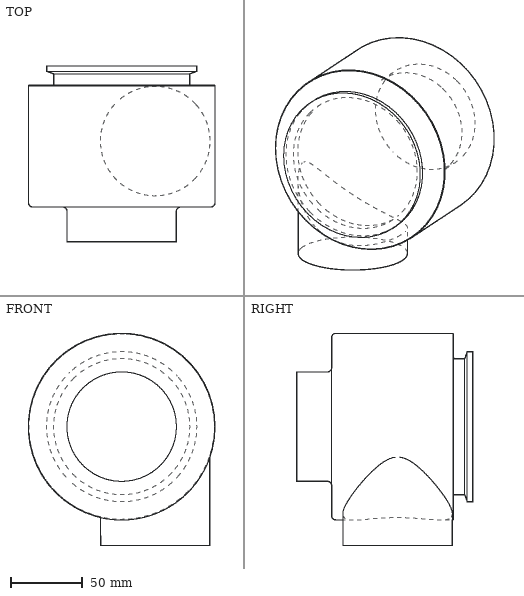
import cadquery as cq

body_radius = 65.1
body_length = 85.0
front_edge_fillet = 3.0
rear_edge_chamfer = 0.5

pipe_radius = 38.2
front_pipe_length = 24.3
root_fillet = 3.0
lower_pipe_offset_x = 23.4
lower_pipe_rear_gap = 0.7
lower_pipe_projection = 17.8

neck_radius = 47.5
neck_root_fillet = 0.7
rear_length = 13.5
flange_radius = 52.4
flange_rim_width = 3.8
flange_bevel_width = 1.8

rear_end_y = body_length + rear_length
rim_start_y = rear_end_y - flange_rim_width
bevel_start_y = rim_start_y - flange_bevel_width
lower_pipe_y = body_length - lower_pipe_rear_gap - pipe_radius


def concave_fillet_mid(corner_radius, corner_y, size, direction):
    """Midpoint of a fillet arc in an inside corner between a cylinder and a face."""
    inset = size * (1 - 0.5**0.5)
    return (corner_radius + inset, corner_y + direction * inset)


def make_turned_body():
    """Front pipe, drum, neck and flange as one profile turned about Y."""
    edge_inset = front_edge_fillet * (1 - 0.5**0.5)
    profile = (
        cq.Workplane("XY")
        .moveTo(0, -front_pipe_length)
        .lineTo(pipe_radius, -front_pipe_length)
        .lineTo(pipe_radius, -root_fillet)
        .threePointArc(
            concave_fillet_mid(pipe_radius, 0, root_fillet, -1),
            (pipe_radius + root_fillet, 0),
        )
        .lineTo(body_radius - front_edge_fillet, 0)
        .threePointArc(
            (body_radius - edge_inset, edge_inset),
            (body_radius, front_edge_fillet),
        )
        .lineTo(body_radius, body_length - rear_edge_chamfer)
        .lineTo(body_radius - rear_edge_chamfer, body_length)
        .lineTo(neck_radius + neck_root_fillet, body_length)
        .threePointArc(
            concave_fillet_mid(neck_radius, body_length, neck_root_fillet, 1),
            (neck_radius, body_length + neck_root_fillet),
        )
        .lineTo(neck_radius, bevel_start_y)
        .lineTo(flange_radius, rim_start_y)
        .lineTo(flange_radius, rear_end_y)
        .lineTo(0, rear_end_y)
        .close()
    )
    return profile.revolve(360, (0, 0, 0), (0, 1, 0))


def make_lower_pipe():
    """Pipe running down from the level of the drum axis, beside that axis."""
    center = (lower_pipe_offset_x, lower_pipe_y, 0)
    reach = body_radius + lower_pipe_projection
    return cq.Workplane("XY", origin=center).circle(pipe_radius).extrude(-reach)


result = make_turned_body().union(make_lower_pipe())